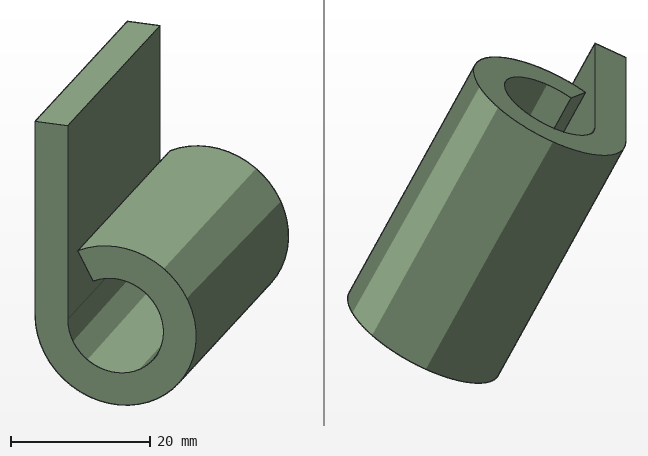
import cadquery as cq
import math

total_height = 42.25
length = 40.0
outer_radius = 12.25
thickness = 5.0
curl_end_angle = 118.0

inner_radius = outer_radius - thickness
leaf_height = total_height - outer_radius


def on_circle(radius, angle):
    """Point (x, z) on a circle around the curl axis, angle in degrees from +X."""
    return (
        radius * math.cos(math.radians(angle)),
        radius * math.sin(math.radians(angle)),
    )


curl_start_angle = -180.0
curl_middle_angle = (curl_start_angle + curl_end_angle) / 2

result = (
    cq.Workplane("XZ")
    .moveTo(-outer_radius, leaf_height)
    .lineTo(-outer_radius, 0)
    .threePointArc(
        on_circle(outer_radius, curl_middle_angle),
        on_circle(outer_radius, curl_end_angle),
    )
    .lineTo(*on_circle(inner_radius, curl_end_angle))
    .threePointArc(
        on_circle(inner_radius, curl_middle_angle),
        (-inner_radius, 0),
    )
    .lineTo(-inner_radius, leaf_height)
    .close()
    .extrude(length / 2, both=True)
)